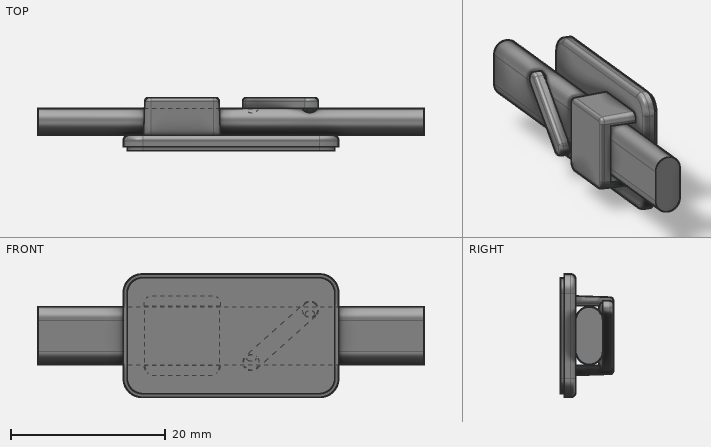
import cadquery as cq
import math

strap_length = 50.0
strap_width = 7.5
strap_thickness = 3.5

plate_length = 27.9
plate_height = 16.0
plate_corner = 2.5
plate_thickness = 1.5
plate_back_fillet = 0.7
panel_inset = 0.5
panel_thickness = 0.5

keeper_length = 9.95
keeper_height = 10.3
keeper_upper_corner = 0.95
keeper_lower_corner = 1.45
keeper_center_x = -6.35
keeper_draft = 2.0
keeper_slot_clearance = 0.1
back_wall = 1.4
back_fillet = 0.5

clip_end_radius = 1.1
clip_start_x = 2.6
clip_end_x = 10.2
clip_end_z = 3.4
bump_height = 0.55
bump_radius = 1.0

plate_back = panel_thickness + plate_thickness
strap_back = plate_back + strap_thickness
overall_back = strap_back + back_wall


def plane_at(y, x=0.0):
    """Sketch plane facing +Y, with local X along -X and local Y along Z."""
    return cq.Workplane(cq.Plane(origin=(x, y, 0), xDir=(-1, 0, 0), normal=(0, 1, 0)))


def rounded_plate(length, height, corner, front, thickness):
    block = plane_at(front).rect(length, height).extrude(thickness)
    return block.edges("|Y").fillet(corner)


def make_panel():
    return rounded_plate(
        plate_length - 2 * panel_inset,
        plate_height - 2 * panel_inset,
        plate_corner - panel_inset,
        0,
        panel_thickness,
    )


def make_keeper():
    outline = cq.Sketch().rect(keeper_length, keeper_height)
    outline = outline.vertices(">Y").fillet(keeper_upper_corner).reset()
    outline = outline.vertices("<Y").fillet(keeper_lower_corner).reset()
    keeper = (
        plane_at(plate_back, keeper_center_x)
        .placeSketch(outline)
        .extrude(overall_back - plate_back, taper=keeper_draft)
    )
    keeper = keeper.faces(">Y").edges().fillet(back_fillet)
    slot = plane_at(plate_back, keeper_center_x).rect(
        2 * keeper_length, strap_width + 2 * keeper_slot_clearance
    )
    return keeper.cut(slot.extrude(strap_thickness))


def make_case():
    plate = rounded_plate(plate_length, plate_height, plate_corner, panel_thickness, plate_thickness)
    plate = plate.faces(">Y").edges().fillet(plate_back_fillet)
    return plate.union(make_keeper())


def make_strap():
    section_center = (plate_back + strap_back) / 2
    return (
        cq.Workplane("YZ", origin=(-strap_length / 2, section_center, 0))
        .slot2D(strap_width, strap_thickness, 90)
        .extrude(strap_length)
    )


def make_bump(x, z):
    """Spherical cap on the front of the clip, reaching forward over the strap edge."""
    sphere_radius = (bump_radius**2 + bump_height**2) / (2 * bump_height)
    center_y = strap_back - bump_height + sphere_radius
    sphere = cq.Workplane("XY").sphere(sphere_radius).translate((x, center_y, z))
    front_half = plane_at(strap_back - bump_height, x).center(0, z)
    return sphere.intersect(front_half.rect(2 * clip_end_radius, 2 * clip_end_radius).extrude(bump_height))


def make_clip():
    bar_tilt = math.degrees(math.atan2(2 * clip_end_z, clip_end_x - clip_start_x))
    bar_length = math.hypot(clip_end_x - clip_start_x, 2 * clip_end_z) + 2 * clip_end_radius
    clip = (
        plane_at(strap_back, (clip_start_x + clip_end_x) / 2)
        .slot2D(bar_length, 2 * clip_end_radius, -bar_tilt)
        .extrude(back_wall)
    )
    clip = clip.faces(">Y").edges().fillet(back_fillet)
    clip = clip.union(make_bump(clip_start_x, -clip_end_z))
    return clip.union(make_bump(clip_end_x, clip_end_z))


panel = make_panel()
case = make_case()
clip = make_clip()
strap = make_strap().cut(clip)

result = cq.Compound.makeCompound([body.solids().val() for body in (panel, case, strap, clip)])